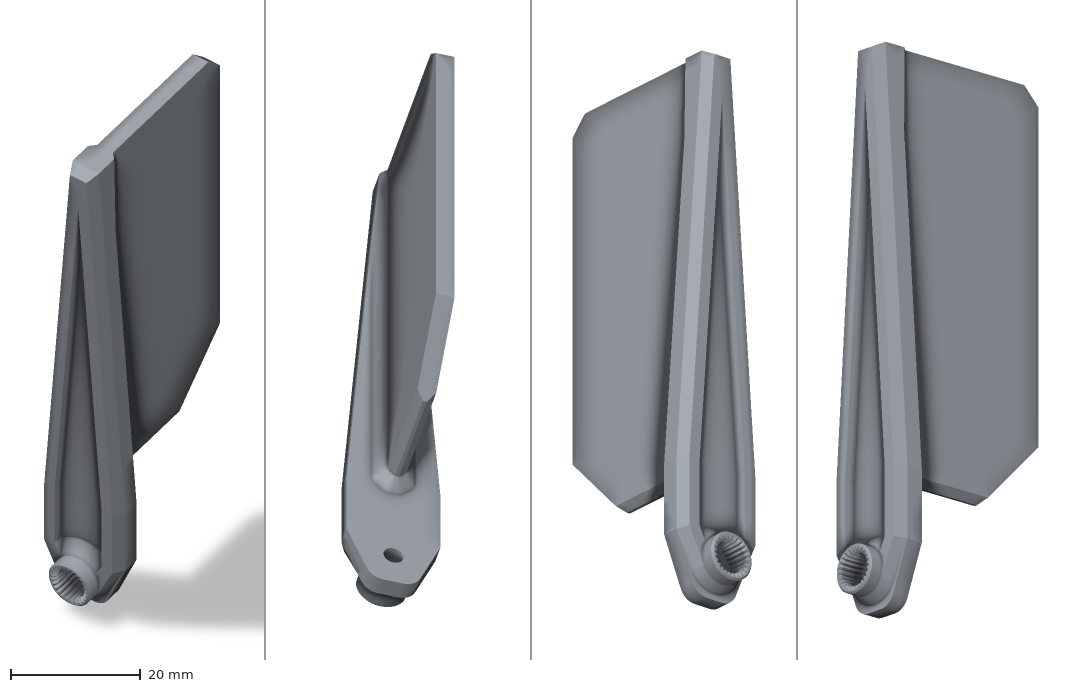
import cadquery as cq
import math


ARM_TOP = 86.0
ARM_BOTTOM = -6.0
ARM_HALF_WIDTH = 7.5
TIP_HALF_WIDTH = 2.5
TAPER_START = 16.0
FOOT_START = 4.0
TOE_HALF_WIDTH = 3.5
FOOT_RADIUS = 3.0
ARM_THICKNESS = 5.0
BEVEL_DEPTH = 2.0
BEVEL_WIDTH = 1.0
BEVEL_ANGLE = math.degrees(math.atan2(BEVEL_WIDTH, BEVEL_DEPTH))

RECESS_DEPTH = 2.0
RECESS_RIM = 3.0

BOSS_RADIUS = 4.0
BOSS_HEIGHT = 2.5
COLLAR_RADIUS = BOSS_RADIUS + RECESS_DEPTH
HOLE_DIAMETER = 3.2
BOSS_CHAMFER = 0.3

SPLINE_TEETH = 25
SPLINE_TIP_RADIUS = 2.7
SPLINE_GROOVE_RADIUS = 3.2
SPLINE_DEPTH = BOSS_HEIGHT + RECESS_DEPTH
MOUTH_FLARE = 0.4

BLADE_HALF_THICKNESS = 1.5
BLADE_BACK = 35.0
BLADE_BOTTOM = TAPER_START
BLADE_TOP_CORNER = 3.0
BLADE_LOWER_CORNER = 11.8
BLADE_EDGE_CHAMFER = 1.2
GUSSET_SIZE = 2.0

RIM_RADIUS = BOSS_RADIUS + BEVEL_WIDTH
RIM_ANGLE = (math.acos(RIM_RADIUS / math.hypot(ARM_HALF_WIDTH, FOOT_START))
             - math.atan2(FOOT_START, ARM_HALF_WIDTH))


def at_depth(y):
    """Workplane with local axes X and Z whose extrusions run toward the front (-Y)."""
    return cq.Workplane("XZ", origin=(0, y, 0))


def arm_prism(y_back, length):
    """Full arm outline, with the rounded foot."""
    points = [
        (-TOE_HALF_WIDTH, ARM_BOTTOM),
        (TOE_HALF_WIDTH, ARM_BOTTOM),
        (ARM_HALF_WIDTH, FOOT_START),
        (ARM_HALF_WIDTH, TAPER_START),
        (TIP_HALF_WIDTH, ARM_TOP),
        (-TIP_HALF_WIDTH, ARM_TOP),
        (-ARM_HALF_WIDTH, TAPER_START),
        (-ARM_HALF_WIDTH, FOOT_START),
    ]
    prism = at_depth(y_back).polyline(points).close().extrude(length)
    foot_edges = cq.selectors.BoxSelector(
        (-TOE_HALF_WIDTH - 0.1, y_back - length - 1, ARM_BOTTOM - 0.1),
        (TOE_HALF_WIDTH + 0.1, y_back + 1, ARM_BOTTOM + 0.1),
    )
    return prism.edges("|Y").edges(foot_edges).fillet(FOOT_RADIUS)


def rim_outline(y):
    """Arm outline whose lower end is an arc around the pivot."""
    tangent_x = RIM_RADIUS * math.cos(RIM_ANGLE)
    tangent_z = -RIM_RADIUS * math.sin(RIM_ANGLE)
    return (
        at_depth(y)
        .moveTo(tangent_x, tangent_z)
        .lineTo(ARM_HALF_WIDTH, FOOT_START)
        .lineTo(ARM_HALF_WIDTH, TAPER_START)
        .lineTo(TIP_HALF_WIDTH, ARM_TOP)
        .lineTo(-TIP_HALF_WIDTH, ARM_TOP)
        .lineTo(-ARM_HALF_WIDTH, TAPER_START)
        .lineTo(-ARM_HALF_WIDTH, FOOT_START)
        .lineTo(-tangent_x, tangent_z)
        .threePointArc((0, -RIM_RADIUS), (tangent_x, tangent_z))
        .close()
    )


def make_arm():
    base = arm_prism(ARM_THICKNESS, ARM_THICKNESS - BEVEL_DEPTH)
    rim = rim_outline(BEVEL_DEPTH).extrude(BEVEL_DEPTH, taper=BEVEL_ANGLE)
    return base.union(rim)


def make_recess():
    """Pocket with its walls parallel to the arm outline, down to a point at the tip."""
    half_width = ARM_HALF_WIDTH - RECESS_RIM
    taper_angle = math.atan2(ARM_HALF_WIDTH - TIP_HALF_WIDTH, ARM_TOP - TAPER_START)
    taper_z = TAPER_START - RECESS_RIM * math.tan(taper_angle / 2)
    tip_z = taper_z + half_width / math.tan(taper_angle)
    foot_z = FOOT_START + RECESS_RIM * math.tan(RIM_ANGLE / 2)
    low_half_width = half_width - foot_z * math.tan(RIM_ANGLE)
    points = [
        (low_half_width, 0),
        (half_width, foot_z),
        (half_width, taper_z),
        (0, tip_z),
        (-half_width, taper_z),
        (-half_width, foot_z),
        (-low_half_width, 0),
    ]
    pocket = at_depth(RECESS_DEPTH).polyline(points).close().extrude(RECESS_DEPTH)
    collar = (
        at_depth(RECESS_DEPTH)
        .circle(COLLAR_RADIUS)
        .workplane(offset=RECESS_DEPTH)
        .circle(BOSS_RADIUS)
        .loft()
    )
    return pocket.cut(collar)


def make_boss():
    boss = at_depth(0).circle(BOSS_RADIUS).extrude(BOSS_HEIGHT)
    return boss.faces("<Y").edges().chamfer(BOSS_CHAMFER)


def spline_points(growth=0.0):
    """Star outline of the socket, one tooth at the top, enlarged radially by growth."""
    half_pitch = math.pi / SPLINE_TEETH
    points = []
    for i in range(SPLINE_TEETH):
        tooth_angle = math.pi / 2 + 2 * i * half_pitch
        for radius, angle in (
            (SPLINE_TIP_RADIUS + growth, tooth_angle),
            (SPLINE_GROOVE_RADIUS + growth, tooth_angle + half_pitch),
        ):
            points.append((radius * math.cos(angle), radius * math.sin(angle)))
    return points


def make_spline_socket():
    """Socket with V grooves around its wall and a flared mouth."""
    floor_y = SPLINE_DEPTH - BOSS_HEIGHT
    socket = at_depth(floor_y).polyline(spline_points()).close().extrude(SPLINE_DEPTH)
    mouth = (
        at_depth(MOUTH_FLARE - BOSS_HEIGHT)
        .polyline(spline_points())
        .close()
        .workplane(offset=MOUTH_FLARE)
        .polyline(spline_points(MOUTH_FLARE))
        .close()
        .loft(ruled=True)
    )
    return socket.union(mouth)


def make_blade():
    profile = [
        (ARM_THICKNESS, BLADE_BOTTOM),
        (BLADE_BACK - BLADE_LOWER_CORNER, BLADE_BOTTOM),
        (BLADE_BACK, BLADE_BOTTOM + BLADE_LOWER_CORNER),
        (BLADE_BACK, ARM_TOP - BLADE_TOP_CORNER),
        (BLADE_BACK - BLADE_TOP_CORNER, ARM_TOP),
        (ARM_THICKNESS, ARM_TOP),
    ]
    blade = (
        cq.Workplane("YZ")
        .polyline(profile)
        .close()
        .extrude(BLADE_HALF_THICKNESS, both=True)
    )
    return blade.faces("<Z").edges("|Y").chamfer(BLADE_EDGE_CHAMFER)


def make_gusset():
    """Blade section flared outward at 45 degrees onto the arm, trimmed to the arm outline."""
    y_back = ARM_THICKNESS + GUSSET_SIZE
    bottom_half = BLADE_HALF_THICKNESS - BLADE_EDGE_CHAMFER
    chamfer_top = BLADE_BOTTOM + BLADE_EDGE_CHAMFER
    top = ARM_TOP + GUSSET_SIZE + 1
    points = [
        (-bottom_half, BLADE_BOTTOM),
        (bottom_half, BLADE_BOTTOM),
        (BLADE_HALF_THICKNESS, chamfer_top),
        (BLADE_HALF_THICKNESS, top),
        (-BLADE_HALF_THICKNESS, top),
        (-BLADE_HALF_THICKNESS, chamfer_top),
    ]
    flare = at_depth(y_back).polyline(points).close().extrude(GUSSET_SIZE, taper=-45)
    return flare.intersect(arm_prism(y_back, GUSSET_SIZE))


body = make_arm().cut(make_recess())
body = body.union(make_boss()).union(make_gusset()).union(make_blade())
hole = at_depth(ARM_THICKNESS).circle(HOLE_DIAMETER / 2).extrude(ARM_THICKNESS + BOSS_HEIGHT)
result = body.cut(hole).cut(make_spline_socket())